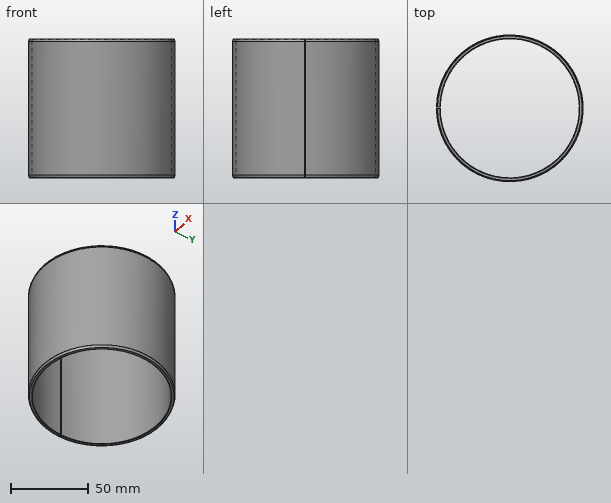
import cadquery as cq

outer_diameter = 95.0
bore_diameter = 90.1
length = 90.0
outer_chamfer_height = 1.8
outer_chamfer_depth = 0.7
bore_chamfer = 0.3
seam_angle = 1.0

outer_radius = outer_diameter / 2
bore_radius = bore_diameter / 2
half_length = length / 2

wall_section = [
    (-bore_radius, -half_length + bore_chamfer),
    (-bore_radius - bore_chamfer, -half_length),
    (-outer_radius + outer_chamfer_depth, -half_length),
    (-outer_radius, -half_length + outer_chamfer_height),
    (-outer_radius, half_length - outer_chamfer_height),
    (-outer_radius + outer_chamfer_depth, half_length),
    (-bore_radius - bore_chamfer, half_length),
    (-bore_radius, half_length - bore_chamfer),
]

result = (
    cq.Workplane("XZ")
    .polyline(wall_section)
    .close()
    .revolve(360 - seam_angle, (0, 0), (0, 1))
)